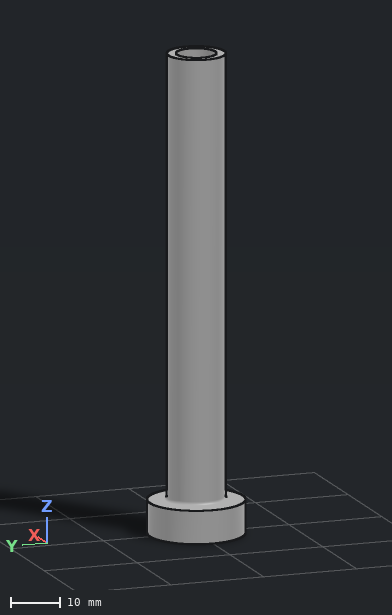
import cadquery as cq

total_length = 100.0
head_diameter = 20.0
head_height = 7.0
shank_diameter = 12.0
bore_diameter = 8.2
fillet_radius = 0.8

head_radius = head_diameter / 2
shank_radius = shank_diameter / 2


def sleeve_body():
    """Revolve the head and shank, with a concave fillet where they meet."""
    profile = (
        cq.Workplane("XZ")
        .lineTo(head_radius, 0)
        .lineTo(head_radius, head_height)
        .lineTo(shank_radius + fillet_radius, head_height)
        .radiusArc((shank_radius, head_height + fillet_radius), fillet_radius)
        .lineTo(shank_radius, total_length)
        .lineTo(0, total_length)
        .close()
    )
    return profile.revolve(360, (0, 0, 0), (0, 1, 0))


def through_bore():
    """Straight bore along the whole length."""
    return cq.Workplane("XY").circle(bore_diameter / 2).extrude(total_length)


result = sleeve_body().cut(through_bore())